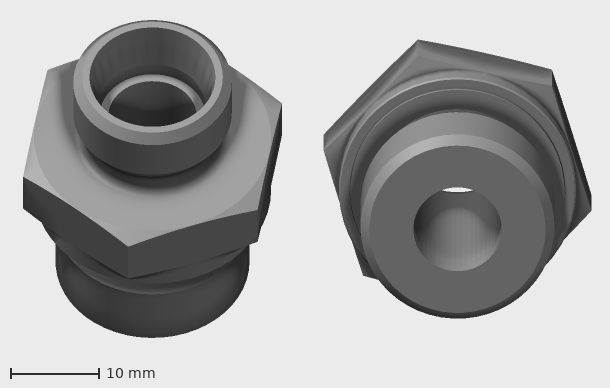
import cadquery as cq
import math

total_height = 35.0
flange_bottom = 14.0
hex_bottom = 16.98
hex_top = 23.98

hex_across_flats = 27.02
hex_across_corners = hex_across_flats / math.cos(math.radians(30))
flange_radius = 26.9 / 2
flange_edge_chamfer = 0.18
hex_chamfer_angle = 15.0

upper_thread_radius = 18.0 / 2
upper_neck_radius = 15.6 / 2
lower_thread_radius = 22.0 / 2
lower_neck_radius = 19.7 / 2
thread_chamfer = 1.0
relief_angle = math.radians(30)
neck_fillet = 1.0
upper_relief_cone_top = 28.52
lower_relief_cone_bottom = 9.03

bore_radius = 10.0 / 2
socket_radius = 12.0 / 2
socket_mouth_radius = 14.28 / 2
socket_cone_half_angle = math.radians(12)
socket_straight_depth = 1.82
socket_cone_depth = (socket_mouth_radius - socket_radius) / math.tan(socket_cone_half_angle)
socket_depth = socket_cone_depth + socket_straight_depth

seal_inner_radius = lower_neck_radius
seal_outer_radius = 24.3 / 2
groove_outer_radius = 24.5 / 2
groove_depth = 1.5
seal_protrusion = 0.35


def cylinder(radius, bottom, top):
    return cq.Workplane("XY").workplane(offset=bottom).circle(radius).extrude(top - bottom)


def relief_offsets(neck_radius, thread_radius):
    """Radius where the fillet meets the relief cone, and the heights of cone and fillet."""
    cone_start_radius = neck_radius + neck_fillet * (1 - math.cos(relief_angle))
    cone_height = (thread_radius - cone_start_radius) / math.tan(relief_angle)
    fillet_height = neck_fillet * math.sin(relief_angle)
    return cone_start_radius, cone_height, fillet_height


def make_lower_end():
    """Chamfered thread blank, relief cone and neck, up to the hexagon."""
    cone_radius, cone_height, fillet_height = relief_offsets(lower_neck_radius, lower_thread_radius)
    cone_top = lower_relief_cone_bottom + cone_height
    return (
        cq.Workplane("XZ")
        .lineTo(lower_thread_radius - thread_chamfer, 0)
        .lineTo(lower_thread_radius, thread_chamfer)
        .lineTo(lower_thread_radius, lower_relief_cone_bottom)
        .lineTo(cone_radius, cone_top)
        .radiusArc((lower_neck_radius, cone_top + fillet_height), neck_fillet)
        .lineTo(lower_neck_radius, hex_bottom)
        .lineTo(0, hex_bottom)
        .close()
        .revolve(360, (0, 0), (0, 1))
    )


def make_upper_end():
    """Neck filleted into the hexagon, relief cone and chamfered thread blank."""
    cone_radius, cone_height, fillet_height = relief_offsets(upper_neck_radius, upper_thread_radius)
    cone_bottom = upper_relief_cone_top - cone_height
    return (
        cq.Workplane("XZ")
        .moveTo(0, hex_top)
        .lineTo(upper_neck_radius + neck_fillet, hex_top)
        .radiusArc((upper_neck_radius, hex_top + neck_fillet), neck_fillet)
        .lineTo(upper_neck_radius, cone_bottom - fillet_height)
        .radiusArc((cone_radius, cone_bottom), neck_fillet)
        .lineTo(upper_thread_radius, upper_relief_cone_top)
        .lineTo(upper_thread_radius, total_height - thread_chamfer)
        .lineTo(upper_thread_radius - thread_chamfer, total_height)
        .lineTo(0, total_height)
        .close()
        .revolve(360, (0, 0), (0, 1))
    )


def make_hexagon():
    """Hexagon with corners on the Y axis, its corners turned off conically at both ends."""
    corner_radius = hex_across_corners / 2
    corner_drop = (corner_radius - flange_radius) * math.tan(math.radians(hex_chamfer_angle))
    prism = (
        cq.Workplane("XY")
        .workplane(offset=hex_bottom)
        .transformed(rotate=(0, 0, 90))
        .polygon(6, hex_across_corners)
        .extrude(hex_top - hex_bottom)
    )
    turned_envelope = (
        cq.Workplane("XZ")
        .moveTo(0, hex_bottom)
        .lineTo(flange_radius, hex_bottom)
        .lineTo(corner_radius, hex_bottom + corner_drop)
        .lineTo(corner_radius, hex_top - corner_drop)
        .lineTo(flange_radius, hex_top)
        .lineTo(0, hex_top)
        .close()
        .revolve(360, (0, 0), (0, 1))
    )
    return prism.intersect(turned_envelope)


def make_flange():
    """Round flange under the hexagon, with the open annular groove for the sealing ring."""
    flange = cylinder(flange_radius, flange_bottom, hex_bottom).faces("<Z").edges().chamfer(flange_edge_chamfer)
    return flange.cut(cylinder(groove_outer_radius, flange_bottom, flange_bottom + groove_depth))


def make_passage():
    """Through bore with a stepped, conical tube socket at the top."""
    socket_floor = total_height - socket_depth
    return (
        cq.Workplane("XZ")
        .lineTo(bore_radius, 0)
        .lineTo(bore_radius, socket_floor)
        .lineTo(socket_radius, socket_floor)
        .lineTo(socket_radius, socket_floor + socket_straight_depth)
        .lineTo(socket_mouth_radius, total_height)
        .lineTo(0, total_height)
        .close()
        .revolve(360, (0, 0), (0, 1))
    )


def make_fitting():
    solid = make_lower_end().union(make_flange()).union(make_hexagon()).union(make_upper_end())
    return solid.cut(make_passage())


def make_seal_ring():
    """Flat ring around the lower neck, seated on the groove floor and standing proud of the flange."""
    seal_bottom = flange_bottom - seal_protrusion
    seal_top = flange_bottom + groove_depth
    outside = cylinder(seal_outer_radius, seal_bottom, seal_top)
    return outside.cut(cylinder(seal_inner_radius, seal_bottom, seal_top))


fitting = make_fitting()
seal_ring = make_seal_ring()

result = cq.Compound.makeCompound([fitting.val(), seal_ring.val()])